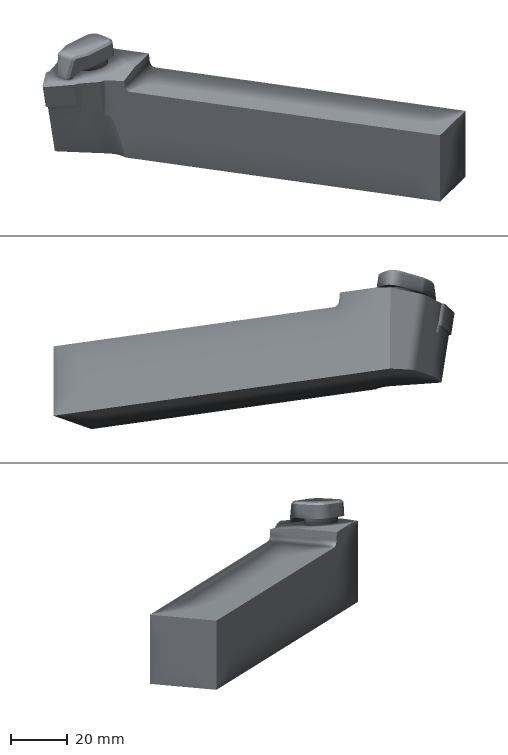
import cadquery as cq
import math


shank_size = 25.0
shank_end = 149.8
head_top = 30.0
head_end = 30.9
head_wall_lean = 6.0
head_fillet = 2.2
rear_bevel_x = 9.9
rear_bevel_angle = 45.0
flare_x = 23.7
flare_angle = 45.0
clearance = 59.9

rake = 6.2
nose_x = 2.8
nose_y = -6.9
nose_z = 25.0

insert_size = 12.7
insert_thickness = 8.0
insert_radius = 1.5
insert_turn = 13.9
shim_thickness = 2.8
shim_inset = 0.6
wall_inset = 0.67
wall_radius = 1.2

left_wall_x = -2.0
left_wall_y = 11.5
left_wall_turn = 3.0
bevel_radius = 5.2
left_radius = 5.0
front_wall_length = 18.5
cutter_radius = 8.8

clamp_tip_x = 4.5
clamp_tip_y = 7.3
clamp_turn = 61.0
clamp_length = 21.9
clamp_half_width = 6.5
tip_half_width = 3.0
taper_length = 8.5
rear_radius = 4.0
taper_radius = 2.2
clamp_height = 8.0
clamp_gap = 2.2
pad_length = 2.0
arch_length = 4.5
arch_sag = 0.5
tip_lean = 3.5
tip_round = 2.2
clamp_chamfer = 0.7
post_radius = 6.0
post_place = 14.1

slope = math.tan(math.radians(rake))
insert_plane = cq.Plane(origin=(nose_x, nose_y, nose_z), xDir=(1, 0, slope), normal=(-slope, -slope, 1))
turned_plane = insert_plane.rotated((0, 0, insert_turn))


def along(angle):
    """Unit direction in a plane, at an angle in degrees."""
    return cq.Vector(math.cos(math.radians(angle)), math.sin(math.radians(angle)))


def crossing(point_a, direction_a, point_b, direction_b):
    """Crossing point of two lines in a plane."""
    gap = point_b - point_a
    turn = direction_a.cross(direction_b).z
    return point_a + direction_a * (gap.cross(direction_b).z / turn)


def square_plate(inset, depth, thickness):
    """Rounded square plate parallel to the insert, its top at a depth below the insert plane."""
    return (
        cq.Workplane(turned_plane)
        .workplane(offset=-depth)
        .rect(insert_size, insert_size, centered=False)
        .extrude(-thickness)
        .translate((turned_plane.xDir + turned_plane.yDir) * inset)
        .edges(cq.selectors.ParallelDirSelector(turned_plane.zDir))
        .fillet(insert_radius)
    )


def make_blank():
    """Shank and upright head block, seen in plan as a bar with a bevel and a flare."""
    lean = math.radians(head_wall_lean)
    fillet_start = (
        head_end + (head_top - shank_size - head_fillet) * math.tan(lean),
        shank_size + head_fillet * (1 - math.sin(lean)),
    )
    fillet_centre = (fillet_start[0] + head_fillet * math.cos(lean), shank_size + head_fillet)
    fillet_middle = cq.Vector(*fillet_centre) - along((90 + head_wall_lean) / 2) * head_fillet
    profile = (
        cq.Workplane("XZ", origin=(0, shank_size, 0))
        .moveTo(-clearance, 0)
        .lineTo(shank_end, 0)
        .lineTo(shank_end, shank_size)
        .lineTo(fillet_centre[0], shank_size)
        .threePointArc(fillet_middle.toTuple()[:2], fillet_start)
        .lineTo(head_end, head_top)
        .lineTo(-clearance, head_top)
        .close()
        .extrude(shank_size + clearance)
    )
    bevel_far = cq.Vector(rear_bevel_x, shank_size) - along(rear_bevel_angle) * clearance
    flare_run = clearance / math.tan(math.radians(flare_angle))
    plan = (
        cq.Workplane("XY")
        .moveTo(rear_bevel_x, shank_size)
        .lineTo(bevel_far.x, bevel_far.y)
        .lineTo(flare_x - flare_run, -clearance)
        .lineTo(flare_x, 0)
        .lineTo(shank_end, 0)
        .lineTo(shank_end, shank_size)
        .close()
        .extrude(head_top)
    )
    return profile.intersect(plan)


def make_envelope():
    """Space left by the cutters, which run square to the insert plane."""
    side = along(insert_turn)
    up = along(insert_turn + 90)
    corner = (side + up) * wall_inset
    left_direction = along(90 - left_wall_turn)
    left_point = cq.Vector(left_wall_x, left_wall_y)
    left_corner = crossing(corner, up, left_point, left_direction)
    wall_end = corner + side * front_wall_length
    cutter_centre = wall_end - up * cutter_radius
    cutter_middle = cutter_centre + along((insert_turn + 90) / 2) * cutter_radius
    cutter_end = cutter_centre + cq.Vector(cutter_radius, 0)
    bevel_local = insert_plane.toLocalCoords(cq.Vector(rear_bevel_x, shank_size, nose_z))
    bevel_point = cq.Vector(bevel_local.x, bevel_local.y)
    bevel_corner = crossing(left_point, left_direction, bevel_point, along(rear_bevel_angle))
    bevel_far = bevel_corner + along(rear_bevel_angle) * clearance
    reach = shank_end + clearance
    envelope = (
        cq.Workplane(insert_plane)
        .moveTo(corner.x, corner.y)
        .lineTo(wall_end.x, wall_end.y)
        .threePointArc(cutter_middle.toTuple()[:2], cutter_end.toTuple()[:2])
        .lineTo(cutter_end.x, -clearance)
        .lineTo(reach, -clearance)
        .lineTo(reach, bevel_far.y)
        .lineTo(bevel_far.x, bevel_far.y)
        .lineTo(bevel_corner.x, bevel_corner.y)
        .lineTo(left_corner.x, left_corner.y)
        .close()
        .extrude(clearance, both=True)
    )
    for point, radius in ((corner, wall_radius), (left_corner, left_radius), (bevel_corner, bevel_radius)):
        place = insert_plane.toWorldCoords(point.toTuple())
        envelope = envelope.edges(cq.selectors.NearestToPointSelector(place.toTuple())).fillet(radius)
    return envelope


def make_clamp():
    """Finger clamp: tapered tip, rounded rear, arched underside and a round post."""
    tip = insert_plane.toWorldCoords((clamp_tip_x, clamp_tip_y, 0))
    plane = cq.Plane(origin=tip, xDir=insert_plane.xDir, normal=insert_plane.zDir)
    plane = plane.rotated((0, 0, clamp_turn))
    outline = (
        cq.Workplane(plane)
        .polyline([
            (0, -tip_half_width),
            (taper_length, -clamp_half_width),
            (clamp_length, -clamp_half_width),
            (clamp_length, clamp_half_width),
            (taper_length, clamp_half_width),
            (0, tip_half_width),
        ])
        .close()
        .extrude(clamp_height)
        .faces(cq.selectors.DirectionMinMaxSelector(plane.xDir))
        .edges(cq.selectors.ParallelDirSelector(plane.zDir))
        .fillet(rear_radius)
    )
    for side_sign in (-1, 1):
        taper_corner = plane.toWorldCoords((taper_length, side_sign * clamp_half_width, clamp_height / 2))
        outline = outline.edges(cq.selectors.NearestToPointSelector(taper_corner.toTuple())).fillet(taper_radius)
    tip_top = plane.toWorldCoords((tip_lean, 0, clamp_height))
    arch_end = pad_length + arch_length
    side_plane = cq.Plane(origin=tip, xDir=plane.xDir, normal=-plane.yDir)
    side = (
        cq.Workplane(side_plane)
        .moveTo(0, 0)
        .lineTo(pad_length, 0)
        .sagittaArc((arch_end, clamp_gap), arch_sag)
        .lineTo(clamp_length, clamp_gap)
        .lineTo(clamp_length, clamp_height)
        .lineTo(tip_lean, clamp_height)
        .close()
        .extrude(clamp_half_width, both=True)
        .edges(cq.selectors.NearestToPointSelector(tip_top.toTuple()))
        .fillet(tip_round)
    )
    clamp = (
        outline.intersect(side)
        .faces(cq.selectors.DirectionMinMaxSelector(plane.zDir))
        .edges(cq.selectors.InverseSelector(cq.selectors.DirectionMinMaxSelector(plane.xDir, False)))
        .chamfer(clamp_chamfer)
    )
    post = cq.Workplane(plane).center(post_place, 0).circle(post_radius).extrude(clamp_gap)
    return clamp.union(post)


def make_holder(pocket):
    """Head and shank cut to the insert plane, with the shim, the insert pocket and the clamp."""
    head_reach = 2 * clearance
    above_plane = cq.Workplane(insert_plane).rect(head_reach, head_reach).extrude(clearance)
    body = make_blank().intersect(make_envelope()).cut(above_plane)
    shim = square_plate(shim_inset, insert_thickness, shim_thickness)
    return body.union(shim).cut(pocket).union(make_clamp())


insert = square_plate(0, 0, insert_thickness)

holder = make_holder(insert)

result = cq.Compound.makeCompound([holder.val(), insert.val()])